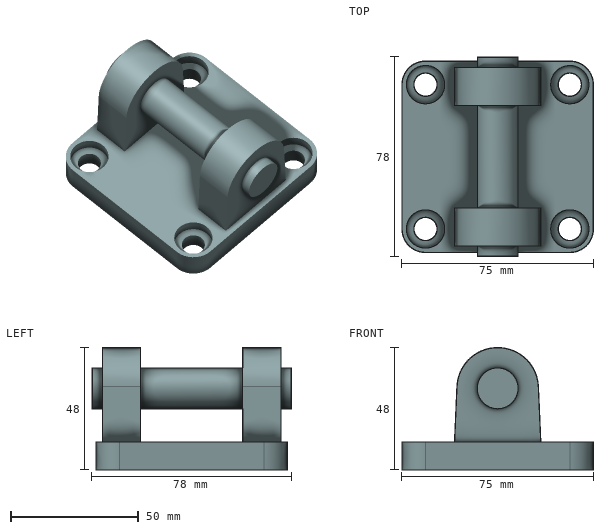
import cadquery as cq
import math

plate_side = 75.0
plate_thickness = 11.0
hole_pitch = 56.5
corner_radius = (plate_side - hole_pitch) / 2

hole_diameter = 9.0
counterbore_diameter = 15.0
counterbore_depth = 4.5

pin_height = 32.0
lug_radius = 16.0
flank_angle = 2.5
lug_thickness = 15.0
lug_gap = 40.0

pin_diameter = 16.0
pin_length = 78.0


def make_plate():
    """Square plate standing on Z = 0, with rounded corners and four counterbored holes."""
    plate = cq.Workplane("XY").box(plate_side, plate_side, plate_thickness, centered=(True, True, False))
    plate = plate.edges("|Z").fillet(corner_radius)
    return (
        plate.faces(">Z")
        .workplane()
        .rect(hole_pitch, hole_pitch, forConstruction=True)
        .vertices()
        .cboreHole(hole_diameter, counterbore_diameter, counterbore_depth)
    )


def make_lug(back_y):
    """Lug with a round top and flanks tangent to it, reaching from back_y towards -Y."""
    lean = math.radians(flank_angle)
    drop = pin_height - plate_thickness
    tangent_x = lug_radius * math.cos(lean)
    tangent_z = pin_height + lug_radius * math.sin(lean)
    half_base = lug_radius / math.cos(lean) + drop * math.tan(lean)
    return (
        cq.Workplane("XZ", origin=(0, back_y, 0))
        .moveTo(-half_base, plate_thickness)
        .lineTo(half_base, plate_thickness)
        .lineTo(tangent_x, tangent_z)
        .threePointArc((0, pin_height + lug_radius), (-tangent_x, tangent_z))
        .close()
        .extrude(lug_thickness)
    )


def make_pin():
    """Round pin along Y, centred between the lugs."""
    return (
        cq.Workplane("XZ", origin=(0, 0, pin_height))
        .circle(pin_diameter / 2)
        .extrude(pin_length / 2, both=True)
    )


result = make_plate()
for lug_back_y in (-lug_gap / 2, lug_gap / 2 + lug_thickness):
    result = result.union(make_lug(lug_back_y))
result = result.union(make_pin())